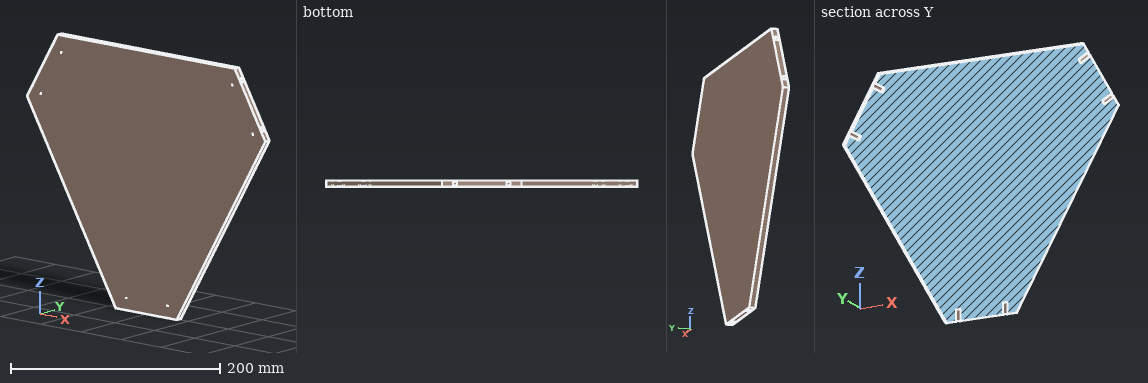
import cadquery as cq
import math

overall_width = 297.7
thickness = 6.3
short_side = 76.2
long_side = overall_width - short_side

hole_diameter = 4.2
hole_depth = 12.0
hole_end_distance = 12.5
hole_spacing = short_side - 2 * hole_end_distance

full_triangle_side = long_side + 2 * short_side
corner_radius = full_triangle_side / math.sqrt(3)
short_edge_distance = corner_radius - short_side * math.sin(math.radians(60))

corner_angles = (30, 150, 270)


def edge_point(angle_degrees, along):
    """XZ point on a short edge, offset counterclockwise from its middle."""
    angle = math.radians(angle_degrees)
    x = short_edge_distance * math.cos(angle) - along * math.sin(angle)
    z = short_edge_distance * math.sin(angle) + along * math.cos(angle)
    return x, z


def make_plate():
    outline = [
        edge_point(angle, along)
        for angle in corner_angles
        for along in (-short_side / 2, short_side / 2)
    ]
    return cq.Workplane("XZ").polyline(outline).close().extrude(thickness / 2, both=True)


def make_edge_hole(angle_degrees, along):
    x, z = edge_point(angle_degrees, along)
    angle = math.radians(angle_degrees)
    inward = cq.Vector(-math.cos(angle), 0, -math.sin(angle))
    return cq.Solid.makeCylinder(hole_diameter / 2, hole_depth, cq.Vector(x, 0, z), inward)


result = make_plate()
for corner_angle in corner_angles:
    for offset in (-hole_spacing / 2, hole_spacing / 2):
        result = result.cut(make_edge_hole(corner_angle, offset))